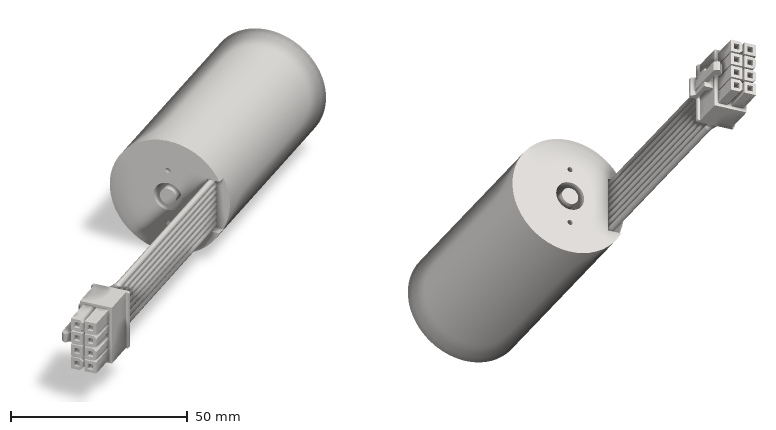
import cadquery as cq


motor_diameter = 36.0
motor_length = 70.3
boss_diameter = 13.0
boss_height = 2.3
boss_chamfer = 0.5
shaft_diameter = 5.0
shaft_tip_y = 85.3
bore_diameter = 8.7
pin_hole_diameter = 1.5
pin_hole_depth = 2.6
pin_hole_offset = 8.5

column_count = 2
row_count = 4
pitch = 4.2
sleeve_size = 3.7
sleeve_chamfer = 0.9
socket_size = 1.7
column_offsets = [(i - (column_count - 1) / 2) * pitch for i in range(column_count)]
row_heights = [(i - (row_count - 1) / 2) * pitch for i in range(row_count)]

overall_length = 174.1
connector_tip_y = shaft_tip_y - overall_length
connector_x = 12.9
flange_width = 11.7
flange_rear_y = -69.3
flange_thickness = 1.0
flange_edge_radius = 0.5
body_width = 10.0
body_height = 18.1
body_front_y = -80.0
sleeve_length = body_front_y - connector_tip_y
body_side_x = connector_x - body_width / 2

lever_outer_x = 4.9
lever_inner_x = 6.5
lever_width = 2.8
lever_tip_y = -86.7
lever_tip_chamfer = 0.9
hook_reach_x = 7.8
hook_rear_y = -83.7
hook_length = 2.1
hook_bevel = 0.7
paddle_width = 5.7
paddle_outer_x = 5.2
paddle_rear_y = -71.2
paddle_lip_x = 4.0
paddle_lip_length = 1.0
paddle_flare_end_y = -73.1
root_start_y = -76.6
root_slope = 1.0
root_end_y = -78.9

wire_diameter = 2.0
wire_pitch = pitch / 2
ribbon_x = 13.0
wires_per_row = 2
splay_start_y = -64.8
wire_end_spread = 0.3

notch_inner_x = 11.8
notch_width = wire_pitch * row_count * wires_per_row
notch_depth = 2.6


def cylinder_y(diameter, start_y, end_y, x=0, z=0):
    """Cylinder parallel to Y, between two Y positions."""
    return (
        cq.Workplane("XZ", origin=(x, start_y, z))
        .circle(diameter / 2)
        .extrude(start_y - end_y)
    )


def block(size_x, size_z, start_y, end_y, x=0, z=0):
    """Rectangular block between two Y positions, centred on x and z."""
    return (
        cq.Workplane("XZ", origin=(x, start_y, z))
        .rect(size_x, size_z)
        .extrude(start_y - end_y)
    )


def make_motor():
    """Can, front boss and shaft in one piece, with a clearance bore round the shaft's rear part."""
    can = cylinder_y(motor_diameter, 0, motor_length)
    boss = cylinder_y(boss_diameter, motor_length, motor_length + boss_height)
    boss = boss.faces(">Y").chamfer(boss_chamfer)
    bore = cylinder_y(bore_diameter, 0, motor_length)
    shaft = cylinder_y(shaft_diameter, 0, shaft_tip_y)
    motor = can.cut(bore).union(boss).union(shaft)

    for z in (-pin_hole_offset, pin_hole_offset):
        motor = motor.cut(cylinder_y(pin_hole_diameter, 0, pin_hole_depth, z=z))

    notch_size_x = motor_diameter / 2
    notch_x = notch_inner_x + notch_size_x / 2
    return motor.cut(block(notch_size_x, notch_width, 0, notch_depth, x=notch_x))


def make_sleeve(column, row):
    """One contact sleeve; the chamfered corners key the plug to its mating half."""
    sleeve = block(
        sleeve_size, sleeve_size, body_front_y, connector_tip_y,
        x=connector_x + column_offsets[column], z=row_heights[row],
    )
    is_end_row = row in (0, row_count - 1)
    keyed_column = 0 if is_end_row else column_count - 1
    if column == keyed_column:
        return sleeve.faces(">X").edges("|Y").chamfer(sleeve_chamfer)
    return sleeve


def make_latch():
    """Lever with a hook at its tip, and a wider thumb paddle whose root joins the body."""
    hook_front_y = hook_rear_y - hook_length
    lever = (
        cq.Workplane("XY")
        .moveTo(lever_outer_x, paddle_flare_end_y)
        .lineTo(lever_inner_x, paddle_flare_end_y)
        .lineTo(lever_inner_x, hook_rear_y)
        .lineTo(hook_reach_x, hook_rear_y)
        .lineTo(hook_reach_x, hook_front_y + hook_bevel)
        .lineTo(hook_reach_x - hook_bevel, hook_front_y)
        .lineTo(lever_inner_x, lever_tip_y)
        .lineTo(lever_outer_x + lever_tip_chamfer, lever_tip_y)
        .lineTo(lever_outer_x, lever_tip_y + lever_tip_chamfer)
        .close()
        .extrude(lever_width / 2, both=True)
    )
    paddle = (
        cq.Workplane("XY")
        .moveTo(paddle_lip_x, paddle_rear_y)
        .lineTo(lever_inner_x, paddle_rear_y)
        .lineTo(lever_inner_x, root_start_y)
        .lineTo(body_side_x, root_start_y - root_slope)
        .lineTo(body_side_x, root_end_y)
        .lineTo(paddle_outer_x, root_end_y)
        .lineTo(paddle_outer_x, paddle_flare_end_y)
        .lineTo(paddle_lip_x, paddle_rear_y - paddle_lip_length)
        .close()
        .extrude(paddle_width / 2, both=True)
    )
    return lever.union(paddle)


def make_connector():
    """Flanged body with the sleeve grid in front, a blind socket in every sleeve, and the latch."""
    flange = block(
        flange_width, body_height, flange_rear_y, flange_rear_y - flange_thickness, x=connector_x
    )
    flange = flange.edges("|Y").fillet(flange_edge_radius)
    connector = flange.union(block(body_width, body_height, flange_rear_y, body_front_y, x=connector_x))

    for column in range(column_count):
        for row in range(row_count):
            connector = connector.union(make_sleeve(column, row))
            socket = block(
                socket_size, socket_size, connector_tip_y, connector_tip_y + sleeve_length,
                x=connector_x + column_offsets[column], z=row_heights[row],
            )
            connector = connector.cut(socket)
    return connector.union(make_latch())


def make_wire(row, side):
    """Round wire from the notch floor to the flange; side 0 goes to the -X column, side 1 to +X."""
    z_direction = 1 - 2 * side
    start = cq.Vector(ribbon_x, notch_depth, row_heights[row] + z_direction * wire_pitch / 2)
    bend = cq.Vector(start.x, splay_start_y, start.z)
    end = cq.Vector(
        connector_x + column_offsets[side],
        flange_rear_y,
        row_heights[row] + z_direction * wire_end_spread,
    )
    overrun = end + (end - bend).normalized() * wire_diameter
    path = cq.Workplane("XY").polyline([start, bend, overrun])
    profile = cq.Workplane("XZ", origin=start.toTuple()).circle(wire_diameter / 2)
    wire = profile.sweep(path, transition="right")
    return wire.cut(block(flange_width, body_height, flange_rear_y, body_front_y, x=connector_x))


motor = make_motor()
connector = make_connector()
wires = [make_wire(row, side) for row in range(row_count) for side in range(wires_per_row)]

result = cq.Compound.makeCompound([motor.val(), connector.val(), *[wire.val() for wire in wires]])